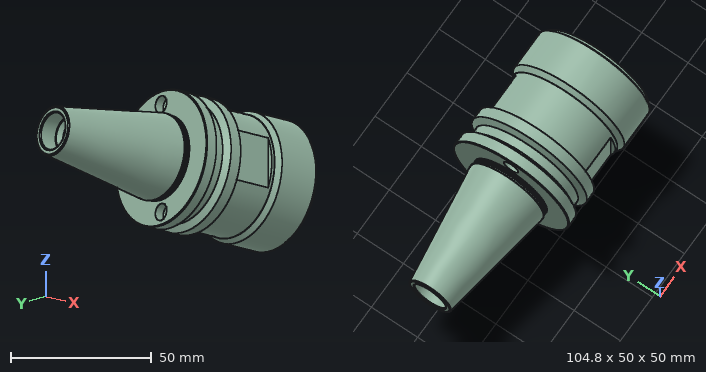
import cadquery as cq
import math

LENGTH = 104.8
TAPER_END = 47.7
TAPER_LAND_END = 48.4
FLANGE_START = 50.8
GROOVE_OPEN_START = 55.4
GROOVE_FLOOR_START = 56.9
GROOVE_FLOOR_END = 60.7
GROOVE_OPEN_END = 62.3
FLANGE_END = 66.8
NUT_START = 84.7
NUT_CONE_END = 86.9
NUT_RIM_END = 102.7
NOSE_START = 103.2

TAPER_SMALL_R = 9.0
TAPER_LARGE_R = 15.9
NECK_R = 15.6
FLANGE_R = 25.0
GROOVE_R = 22.2
BODY_R = 22.5
NUT_CONE_R = 22.6
NUT_R = 24.1
NOSE_R = 23.0
TAPER_CHAMFER_LENGTH = 0.3
TAPER_CHAMFER_HEIGHT = 0.5
FLANGE_CHAMFER = 0.3

RELIEF_START = 49.3
RELIEF_END = 50.3
RELIEF_BEVEL = 0.2

BORE_R = 5.0
COUNTERBORE_R = 6.7
COUNTERBORE_DEPTH = 7.1
THREAD_MOUTH_R = 6.3
THREAD_CONE_LENGTH = 2.1
MOUTH_R = 7.1

FLAT_START = 67.3
FLAT_END = 83.4
FLAT_OFFSET = 20.5

DRIVE_HOLE_R = 3.09
DRIVE_HOLE_OFFSET = 20.0
DRIVE_HOLE_DEPTH = 3.7
DRILL_POINT_ANGLE = 118.0


def revolve_about_x(profile):
    return profile.close().revolve(360, (0, 0, 0), (1, 0, 0))


def make_body():
    relief_r = NECK_R - RELIEF_BEVEL
    nose_radius = LENGTH - NOSE_START
    arc_mid = nose_radius * math.sqrt(0.5)
    profile = (
        cq.Workplane("XY")
        .polyline([
            (0, 0),
            (0, TAPER_SMALL_R - TAPER_CHAMFER_HEIGHT),
            (TAPER_CHAMFER_LENGTH, TAPER_SMALL_R),
            (TAPER_END, TAPER_LARGE_R),
            (TAPER_LAND_END, TAPER_LARGE_R),
            (TAPER_LAND_END, NECK_R),
            (RELIEF_START, NECK_R),
            (RELIEF_START + RELIEF_BEVEL, relief_r),
            (RELIEF_END - RELIEF_BEVEL, relief_r),
            (RELIEF_END, NECK_R),
            (FLANGE_START, NECK_R),
            (FLANGE_START, FLANGE_R - FLANGE_CHAMFER),
            (FLANGE_START + FLANGE_CHAMFER, FLANGE_R),
            (GROOVE_OPEN_START, FLANGE_R),
            (GROOVE_FLOOR_START, GROOVE_R),
            (GROOVE_FLOOR_END, GROOVE_R),
            (GROOVE_OPEN_END, FLANGE_R),
            (FLANGE_END, FLANGE_R),
            (FLANGE_END, BODY_R),
            (NUT_START, BODY_R),
            (NUT_START, NUT_CONE_R),
            (NUT_CONE_END, NUT_R),
            (NUT_RIM_END, NUT_R),
            (NOSE_START, NOSE_R),
        ])
        .threePointArc(
            (NOSE_START + arc_mid, NOSE_R - nose_radius + arc_mid),
            (LENGTH, NOSE_R - nose_radius),
        )
        .lineTo(LENGTH, 0)
    )
    return revolve_about_x(profile)


def make_bore():
    mouth_chamfer = MOUTH_R - COUNTERBORE_R
    profile = cq.Workplane("XY").polyline([
        (0, 0),
        (0, MOUTH_R),
        (mouth_chamfer, COUNTERBORE_R),
        (COUNTERBORE_DEPTH, COUNTERBORE_R),
        (COUNTERBORE_DEPTH, THREAD_MOUTH_R),
        (COUNTERBORE_DEPTH + THREAD_CONE_LENGTH, BORE_R),
        (LENGTH, BORE_R),
        (LENGTH, 0),
    ])
    return revolve_about_x(profile)


def make_drive_hole():
    point_length = DRIVE_HOLE_R / math.tan(math.radians(DRILL_POINT_ANGLE / 2))
    profile = cq.Workplane("XY").polyline([
        (0, 0),
        (0, DRIVE_HOLE_R),
        (DRIVE_HOLE_DEPTH, DRIVE_HOLE_R),
        (DRIVE_HOLE_DEPTH + point_length, 0),
    ])
    return revolve_about_x(profile)


def make_flat_cutter():
    depth = BODY_R - FLAT_OFFSET
    return cq.Workplane("XY").box(FLAT_END - FLAT_START, depth, 2 * BODY_R)


result = make_body().cut(make_bore())
for side in (-1, 1):
    drive_hole = make_drive_hole().translate((FLANGE_START, 0, side * DRIVE_HOLE_OFFSET))
    flat_position = ((FLAT_START + FLAT_END) / 2, side * (FLAT_OFFSET + BODY_R) / 2, 0)
    flat_cutter = make_flat_cutter().translate(flat_position)
    result = result.cut(drive_hole).cut(flat_cutter)